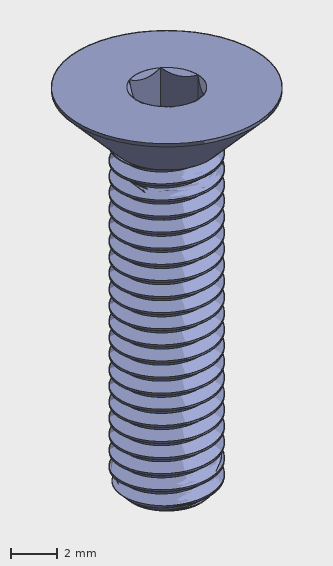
import cadquery as cq
import math

length = 20.0
head_diameter = 10.0
rim_height = 0.15
head_height = 2.78

thread_diameter = 5.0
root_diameter = 3.95
tip_diameter = 3.8
pitch = 0.8
flank_angle = 30.0
crest_flat = pitch / 8
first_crest_height = 0.65
ridge_overlap = 0.05
core_seam_angle = 77.0
envelope_clearance = 0.3

socket_width = 3.0
socket_depth = 1.9
socket_bevel_angle = 45.0

head_radius = head_diameter / 2
thread_radius = thread_diameter / 2
root_radius = root_diameter / 2
tip_radius = tip_diameter / 2
shank_length = length - head_height


def make_head():
    """Countersunk head: a thin cylindrical rim above a 45 degree cone."""
    neck_radius = head_radius - (head_height - rim_height)
    return (
        cq.Workplane("XZ")
        .moveTo(0, shank_length)
        .lineTo(neck_radius, shank_length)
        .lineTo(head_radius, length - rim_height)
        .lineTo(head_radius, length)
        .lineTo(0, length)
        .close()
        .revolve(360, (0, 0, 0), (0, 1, 0))
    )


def make_thread_ridge():
    """Right-handed helical ridge with 60 degree flanks, running past both shank ends."""
    flank_slope = math.tan(math.radians(flank_angle))
    base_radius = root_radius - ridge_overlap
    crest_half_width = crest_flat / 2
    base_half_width = crest_half_width + (thread_radius - base_radius) * flank_slope
    start = first_crest_height - 2 * pitch
    turns = math.ceil((shank_length - start) / pitch) + 1
    path = cq.Wire.makeHelix(pitch, turns * pitch, base_radius).translate(cq.Vector(0, 0, start))
    return (
        cq.Workplane("XZ")
        .polyline([
            (base_radius, start - base_half_width),
            (thread_radius, start - crest_half_width),
            (thread_radius, start + crest_half_width),
            (base_radius, start + base_half_width),
        ])
        .close()
        .sweep(cq.Workplane(obj=path), isFrenet=True)
    )


def make_shank():
    """Threaded shank, its tip chamfered at 45 degrees."""
    core = (
        cq.Workplane("XY")
        .circle(root_radius)
        .extrude(shank_length + 4 * pitch)
        .translate((0, 0, -2 * pitch))
        .rotate((0, 0, 0), (0, 0, 1), core_seam_angle)
    )
    envelope_radius = thread_radius + envelope_clearance
    envelope = (
        cq.Workplane("XZ")
        .lineTo(tip_radius, 0)
        .lineTo(envelope_radius, envelope_radius - tip_radius)
        .lineTo(envelope_radius, shank_length)
        .lineTo(0, shank_length)
        .close()
        .revolve(360, (0, 0, 0), (0, 1, 0))
    )
    return core.union(make_thread_ridge()).intersect(envelope)


def make_socket():
    """Hexagon socket with corners on the Y axis and a conical bevel at its mouth."""
    corner_radius = socket_width / math.sqrt(3)
    bevel_depth = corner_radius * math.tan(math.radians(socket_bevel_angle))
    hexagon = (
        cq.Workplane("XY", origin=(0, 0, length))
        .transformed(rotate=(0, 0, 90))
        .polygon(6, 2 * corner_radius)
        .extrude(-socket_depth)
    )
    bevel = cq.Workplane(obj=cq.Solid.makeCone(
        0, corner_radius, bevel_depth, pnt=cq.Vector(0, 0, length - bevel_depth)))
    return hexagon.union(bevel)


result = make_head().union(make_shank()).cut(make_socket())